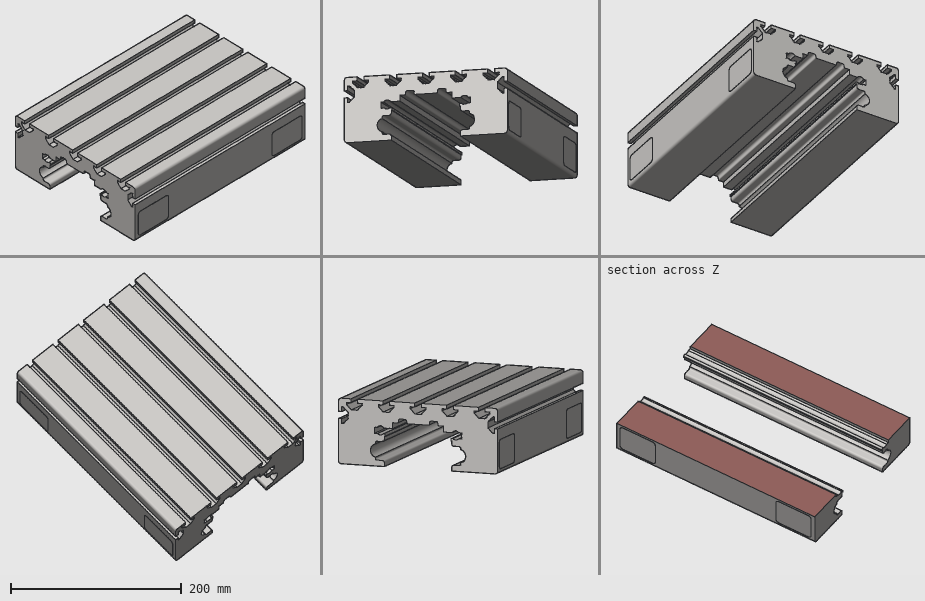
import cadquery as cq

LENGTH = 280.0
BODY_WIDTH = 200.0
HEIGHT = 78.0
CORNER_RADIUS = 3.5

TOP_SLOT_PITCH = 40.0
TOP_SLOT_COUNT = 5
SLOT_OPENING = 8.5
SLOT_CAVITY_WIDTH = 19.5
SLOT_FLOOR_WIDTH = 7.3
SLOT_DEPTH = 13.2
TOP_LIP = 4.8
SIDE_LIP = 4.2
SIDE_SLOT_DEPTH = 12.3
SIDE_SLOT_DROP = 20.2

MOUTH_HALF = 42.3
LIP_TOP = 7.3
LIP_RADIUS = 2.8
LOWER_HALF = 53.5
LOWER_TOP = 29.7
LOWER_RADIUS = 2.0
TONGUE_HALF = 41.2
TONGUE_STEP_Z = 35.8
TONGUE_TOP = 39.0
TONGUE_RADIUS = 0.8
GROOVE_HALF = 54.5
GROOVE_TOP = 46.0
ROOF_HALF = 32.0
ROOF_Z = 53.0

GROOVE_BORE_X = 47.3
GROOVE_BORE_Z = 42.8
GROOVE_BORE_RADIUS = 5.3
LOWER_BORE_X = 51.5
LOWER_BORE_RADIUS = 8.0

NOTCH_X = 19.5
NOTCH_WIDTH = 10.5
NOTCH_DEPTH = 5.0
NOTCH_RADIUS = 2.5
NOTCH_EDGE_RADIUS = 1.5

PAD_HEIGHT = 0.15
PAD_LENGTH = 49.8
PAD_WIDTH = 35.0
PAD_MARGIN = 5.0
PAD_RADIUS = 4.2

EDGE_TOLERANCE = 0.15


def extrude_profile(profile):
    """Extrude an XZ sketch over the full length, centred on Y = 0."""
    return profile.extrude(LENGTH / 2, both=True)


def section():
    return cq.Workplane("XZ")


def t_slot(lip, depth):
    """T-slot cutter opening upward at Z = 0, with a 45 degree tapered floor."""
    opening = SLOT_OPENING / 2
    cavity = SLOT_CAVITY_WIDTH / 2
    floor = SLOT_FLOOR_WIDTH / 2
    taper_start = depth - (cavity - floor)
    half = [
        (opening, 0),
        (opening, -lip),
        (cavity, -lip),
        (cavity, -taper_start),
        (floor, -depth),
    ]
    mirrored = [(-x, z) for x, z in reversed(half)]
    return extrude_profile(section().polyline(half + mirrored).close())


def long_bore(x, z, radius):
    return extrude_profile(section().center(x, z).circle(radius))


def long_bar(half_width, bottom, top, x=0.0):
    """Rectangular cutter spanning the full length between two heights."""
    center_z = (bottom + top) / 2
    return extrude_profile(section().center(x, center_z).rect(2 * half_width, top - bottom))


def round_long_edges(solid, x, z, radius):
    """Fillet the pair of lengthwise edges at (-x, z) and (x, z)."""
    for side in (-1, 1):
        low = (side * x - EDGE_TOLERANCE, -LENGTH, z - EDGE_TOLERANCE)
        high = (side * x + EDGE_TOLERANCE, LENGTH, z + EDGE_TOLERANCE)
        solid = solid.edges(cq.selectors.BoxSelector(low, high)).fillet(radius)
    return solid


def channel():
    """Central channel with its grooves, bores and roof notches."""
    lower_slot = long_bar(LOWER_HALF, LIP_TOP, LOWER_TOP).edges("|Y").fillet(LOWER_RADIUS)
    notch_top = ROOF_Z + NOTCH_DEPTH
    notch_half = NOTCH_WIDTH / 2
    cutter = (
        long_bar(MOUTH_HALF, 0, TONGUE_STEP_Z)
        .union(lower_slot)
        .union(long_bar(TONGUE_HALF, TONGUE_STEP_Z, TONGUE_TOP))
        .union(long_bar(GROOVE_HALF, TONGUE_TOP, GROOVE_TOP))
        .union(long_bar(ROOF_HALF, GROOVE_TOP, ROOF_Z))
    )
    lower_bore_z = (LIP_TOP + LOWER_TOP) / 2
    for side in (-1, 1):
        notch = long_bar(notch_half, GROOVE_TOP, notch_top, side * NOTCH_X)
        cutter = (
            cutter.union(long_bore(side * GROOVE_BORE_X, GROOVE_BORE_Z, GROOVE_BORE_RADIUS))
            .union(long_bore(side * LOWER_BORE_X, lower_bore_z, LOWER_BORE_RADIUS))
            .union(notch.edges("|Y and >Z").fillet(NOTCH_RADIUS))
        )
    for edge_x in (NOTCH_X - notch_half, NOTCH_X + notch_half):
        cutter = round_long_edges(cutter, edge_x, ROOF_Z, NOTCH_EDGE_RADIUS)
    for edge_z in (LIP_TOP, LOWER_TOP):
        cutter = round_long_edges(cutter, MOUTH_HALF, edge_z, LIP_RADIUS)
    return round_long_edges(cutter, TONGUE_HALF, TONGUE_TOP, TONGUE_RADIUS)


def side_pad(side, end):
    """Raised pad on one side face, near one end; half of its block is sunk in the body."""
    y = end * (LENGTH / 2 - PAD_MARGIN - PAD_LENGTH / 2)
    z = PAD_MARGIN + PAD_WIDTH / 2
    return (
        cq.Workplane("XY")
        .box(2 * PAD_HEIGHT, PAD_LENGTH, PAD_WIDTH)
        .edges("|X")
        .fillet(PAD_RADIUS)
        .translate((side * BODY_WIDTH / 2, y, z))
    )


body = (
    cq.Workplane("XY")
    .box(BODY_WIDTH, LENGTH, HEIGHT, centered=(True, True, False))
    .edges("|Y")
    .fillet(CORNER_RADIUS)
)

top_slot = t_slot(TOP_LIP, SLOT_DEPTH)
for index in range(TOP_SLOT_COUNT):
    slot_x = (index - (TOP_SLOT_COUNT - 1) / 2) * TOP_SLOT_PITCH
    body = body.cut(top_slot.translate((slot_x, 0, HEIGHT)))

side_slot = t_slot(SIDE_LIP, SIDE_SLOT_DEPTH)
for side in (-1, 1):
    turned_slot = side_slot.rotate((0, 0, 0), (0, 1, 0), side * 90)
    body = body.cut(turned_slot.translate((side * BODY_WIDTH / 2, 0, HEIGHT - SIDE_SLOT_DROP)))

body = body.cut(channel())

for side in (-1, 1):
    for end in (-1, 1):
        body = body.union(side_pad(side, end))

result = body